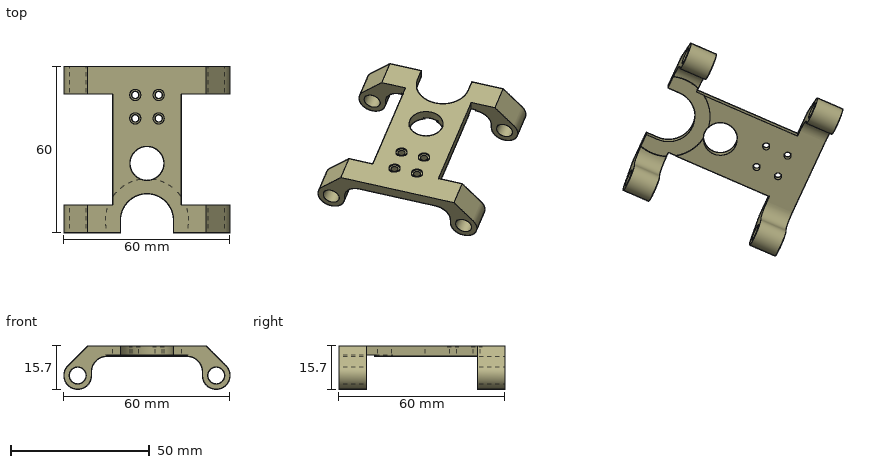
import cadquery as cq
import math

length = 60.0
width = 60.0
leg_depth = 10.0
height = 15.7

foot_diameter = 10.0
foot_bore = 6.0
inner_fillet = 5.5

plate_thickness = 3.85
plate_width = 24.85

window_diameter = 12.2
window_y = -5.0
slot_width = 19.1
slot_center_y = -25.5
relief_diameter = 30.0
relief_depth = 0.5

screw_diameter = 2.5
screw_head_diameter = 4.0
screw_head_depth = 0.5
screw_spacing = 8.45
screw_pattern_y = 15.5

foot_radius = foot_diameter / 2
foot_x = width / 2 - foot_radius
foot_z = foot_radius
leg_inner_x = foot_x - foot_radius
plate_bottom = height - plate_thickness
front_y = -length / 2
rear_y = length / 2

diagonal = foot_radius * math.sqrt(0.5)
shoulder_x = foot_x + diagonal
shoulder_z = foot_z + diagonal
top_half_width = shoulder_x - (height - shoulder_z)


def leg_pair(start_y):
    """Bridge-shaped pair of legs, extruded toward +Y from start_y."""
    fillet_diagonal = inner_fillet * math.sqrt(0.5)
    fillet_x = leg_inner_x - inner_fillet
    fillet_z = plate_bottom - inner_fillet
    plane = cq.Plane(origin=(0, start_y, 0), xDir=(1, 0, 0), normal=(0, -1, 0))
    profile = (
        cq.Workplane(plane)
        .moveTo(-top_half_width, height)
        .lineTo(top_half_width, height)
        .lineTo(shoulder_x, shoulder_z)
        .threePointArc((foot_x + diagonal, foot_z - diagonal), (foot_x, 0))
        .threePointArc((foot_x - diagonal, foot_z - diagonal), (leg_inner_x, foot_z))
        .lineTo(leg_inner_x, fillet_z)
        .threePointArc(
            (fillet_x + fillet_diagonal, fillet_z + fillet_diagonal),
            (fillet_x, plate_bottom),
        )
        .lineTo(-fillet_x, plate_bottom)
        .threePointArc(
            (-fillet_x - fillet_diagonal, fillet_z + fillet_diagonal),
            (-leg_inner_x, fillet_z),
        )
        .lineTo(-leg_inner_x, foot_z)
        .threePointArc((-foot_x + diagonal, foot_z - diagonal), (-foot_x, 0))
        .threePointArc((-foot_x - diagonal, foot_z - diagonal), (-shoulder_x, shoulder_z))
        .close()
        .extrude(-leg_depth)
    )
    bores = (
        cq.Workplane(plane)
        .pushPoints([(-foot_x, foot_z), (foot_x, foot_z)])
        .circle(foot_bore / 2)
        .extrude(-leg_depth)
    )
    return profile.cut(bores)


def vertical_cylinder(diameter, x, y, bottom, top):
    """Cylinder along Z between two heights."""
    return cq.Workplane(origin=(x, y, bottom)).circle(diameter / 2).extrude(top - bottom)


plate = (
    cq.Workplane(origin=(0, 0, plate_bottom))
    .rect(plate_width, length)
    .extrude(plate_thickness)
)
result = plate.union(leg_pair(front_y)).union(leg_pair(rear_y - leg_depth))

result = result.cut(vertical_cylinder(window_diameter, 0, window_y, plate_bottom, height))

slot_mouth = (
    cq.Workplane(origin=(0, 0, plate_bottom))
    .moveTo(0, (front_y + slot_center_y) / 2)
    .rect(slot_width, slot_center_y - front_y)
    .extrude(plate_thickness)
)
slot_end = vertical_cylinder(slot_width, 0, slot_center_y, plate_bottom, height)
result = result.cut(slot_mouth).cut(slot_end)

relief_top = plate_bottom + relief_depth
result = result.cut(vertical_cylinder(relief_diameter, 0, slot_center_y, 0, relief_top))

for side_x in (-1, 1):
    for side_y in (-1, 1):
        x = side_x * screw_spacing / 2
        y = screw_pattern_y + side_y * screw_spacing / 2
        result = result.cut(vertical_cylinder(screw_diameter, x, y, plate_bottom, height))
        head_bottom = height - screw_head_depth
        result = result.cut(vertical_cylinder(screw_head_diameter, x, y, head_bottom, height))